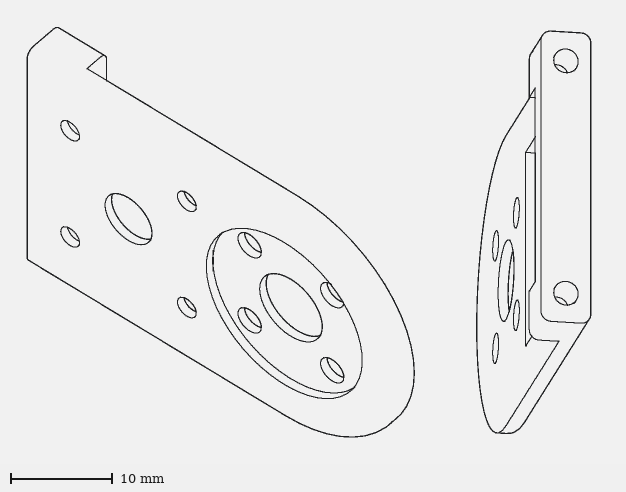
import cadquery as cq
import math

length = 48.0
height = 30.0
plate_thickness = 2.0
edge_radius = 1.0
end_radius = height / 2
end_center_x = length - end_radius

block_length = 6.0
block_thickness = 5.0

end_hole_diameter = 2.45
end_hole_spacing = 24.0
end_hole_depth = 5.0

recess_diameter = 20.0
recess_depth = 1.0
bore_diameter = 8.0
bolt_hole_diameter = 3.0
bolt_circle_diameter = 15.0

pilot_center_x = 13.0
pilot_diameter = 6.0
corner_hole_diameter = 2.4
corner_hole_spacing = 15.0

pocket_side = 20.0
pocket_floor = 1.0


def cylinder_along_y(x, z, diameter, depth):
    """Cylinder starting at the front face (Y = 0) and running toward +Y."""
    center = cq.Vector(x, 0, z)
    return cq.Workplane(cq.Solid.makeCylinder(diameter / 2, depth, center, cq.Vector(0, 1, 0)))


def square_of_holes(center_x, spacing, diameter):
    """Four through-hole cutters at the corners of a square."""
    cutters = cq.Workplane()
    for side_x in (-1, 1):
        for side_z in (-1, 1):
            x = center_x + side_x * spacing / 2
            z = side_z * spacing / 2
            cutters = cutters.add(cylinder_along_y(x, z, diameter, block_thickness))
    return cutters.combine()


def make_plate():
    """Plate with its front outer edge rounded, except along the left end."""
    plate = (
        cq.Workplane("XZ")
        .moveTo(0, -end_radius)
        .lineTo(end_center_x, -end_radius)
        .threePointArc((length, 0), (end_center_x, end_radius))
        .lineTo(0, end_radius)
        .close()
        .extrude(-plate_thickness)
    )
    return plate.faces("<Y").edges("not <X").fillet(edge_radius)


def make_block():
    """Block with its long top and bottom edges rounded."""
    block = cq.Workplane("XY").box(block_length, block_thickness, height, centered=(False, False, True))
    return block.edges("|X").fillet(edge_radius)


def make_end_holes():
    cutters = cq.Workplane()
    for side in (-1, 1):
        center = cq.Vector(0, block_thickness / 2, side * end_hole_spacing / 2)
        hole = cq.Solid.makeCylinder(end_hole_diameter / 2, end_hole_depth, center, cq.Vector(1, 0, 0))
        cutters = cutters.add(hole)
    return cutters.combine()


def make_rear_pocket():
    """Square pocket cutter running from the thinned floor out through the back."""
    return (
        cq.Workplane("XY")
        .box(pocket_side, block_thickness, pocket_side, centered=(True, False, True))
        .translate((pilot_center_x, pocket_floor, 0))
    )


result = make_plate().union(make_block())
result = result.cut(make_rear_pocket())

result = result.cut(cylinder_along_y(end_center_x, 0, recess_diameter, recess_depth))
result = result.cut(cylinder_along_y(end_center_x, 0, bore_diameter, block_thickness))
bolt_hole_spacing = bolt_circle_diameter / math.sqrt(2)
result = result.cut(square_of_holes(end_center_x, bolt_hole_spacing, bolt_hole_diameter))

result = result.cut(cylinder_along_y(pilot_center_x, 0, pilot_diameter, block_thickness))
result = result.cut(square_of_holes(pilot_center_x, corner_hole_spacing, corner_hole_diameter))

result = result.cut(make_end_holes())